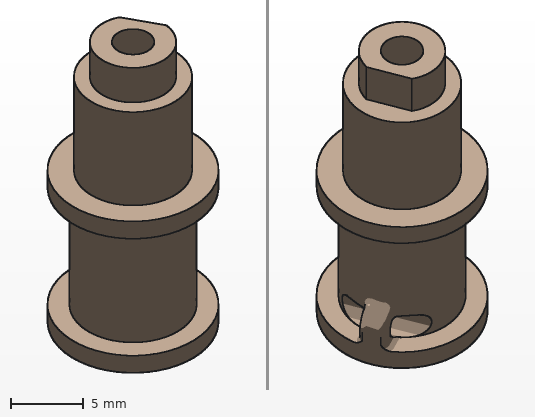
import cadquery as cq

total_height = 24.0
flange_diameter = 11.74
flange_thickness = 1.5
drum_diameter = 8.74
drum_top = 11.52
shoulder_diameter = 8.1
shoulder_top = 21.02
tip_diameter = 5.93
tip_flat_y = 2.45
bore_diameter = 2.9

eyelet_hole_diameter = 2.0
lug_width = 2.0
lug_radius = 2.0
blend_radius = 0.5
eyelet_y = flange_diameter / 2 - lug_radius
eyelet_floor = 0.012
eyelet_z = flange_thickness + eyelet_floor + eyelet_hole_diameter / 2
base_margin = 2.4
selection_margin = 0.05


def disc(diameter, bottom, top):
    return cq.Workplane("XY").workplane(offset=bottom).circle(diameter / 2).extrude(top - bottom)


def make_lug():
    """Upright plate with a round outer end and rounded outer edges."""
    plate_bottom = flange_thickness / 2
    plate_inner_y = (drum_diameter + bore_diameter) / 4
    outer_y = eyelet_y + lug_radius
    plate = (
        cq.Workplane("YZ")
        .moveTo(plate_inner_y, plate_bottom)
        .lineTo(outer_y, plate_bottom)
        .lineTo(outer_y, eyelet_z)
        .radiusArc((eyelet_y, eyelet_z + lug_radius), -lug_radius)
        .lineTo(plate_inner_y, eyelet_z + lug_radius)
        .close()
        .extrude(lug_width / 2, both=True)
    )
    rim_box = cq.selectors.BoxSelector(
        (-lug_width, eyelet_y, plate_bottom + blend_radius / 2),
        (lug_width, outer_y + blend_radius, eyelet_z + 2 * lug_radius),
    )
    return plate.edges("|Z or %CIRCLE").edges(rim_box).fillet(blend_radius)


def make_drum_with_lug():
    """Lower flange and drum with the lug blended into both."""
    base = disc(flange_diameter + 2 * base_margin, 0, flange_thickness)
    body = base.union(disc(drum_diameter, 0, drum_top)).union(make_lug())
    lug_reach = lug_width / 2 + selection_margin
    drum_joint = cq.selectors.BoxSelector(
        (-lug_reach, eyelet_y, flange_thickness + selection_margin),
        (lug_reach, drum_diameter / 2 + selection_margin, drum_top / 2),
    )
    flange_joint = cq.selectors.BoxSelector(
        (-lug_reach, eyelet_y, flange_thickness - selection_margin),
        (lug_reach, flange_diameter, flange_thickness + selection_margin),
    )
    blended = body.edges(drum_joint + flange_joint).fillet(blend_radius)
    return blended.intersect(disc(flange_diameter, 0, drum_top))


def make_tip():
    """Round tip with one flat facing +Y."""
    tip = disc(tip_diameter, shoulder_top, total_height)
    flat_cut = (
        cq.Workplane("XY")
        .workplane(offset=shoulder_top)
        .center(0, tip_flat_y + tip_diameter / 2)
        .rect(tip_diameter, tip_diameter)
        .extrude(total_height - shoulder_top)
    )
    return tip.cut(flat_cut)


bore = disc(bore_diameter, 0, total_height)
eyelet_hole = (
    cq.Workplane("YZ")
    .center(eyelet_y, eyelet_z)
    .circle(eyelet_hole_diameter / 2)
    .extrude(flange_diameter / 2, both=True)
)

result = (
    make_drum_with_lug()
    .union(disc(flange_diameter, drum_top, drum_top + flange_thickness))
    .union(disc(shoulder_diameter, drum_top + flange_thickness, shoulder_top))
    .union(make_tip())
    .cut(bore)
    .cut(eyelet_hole)
)